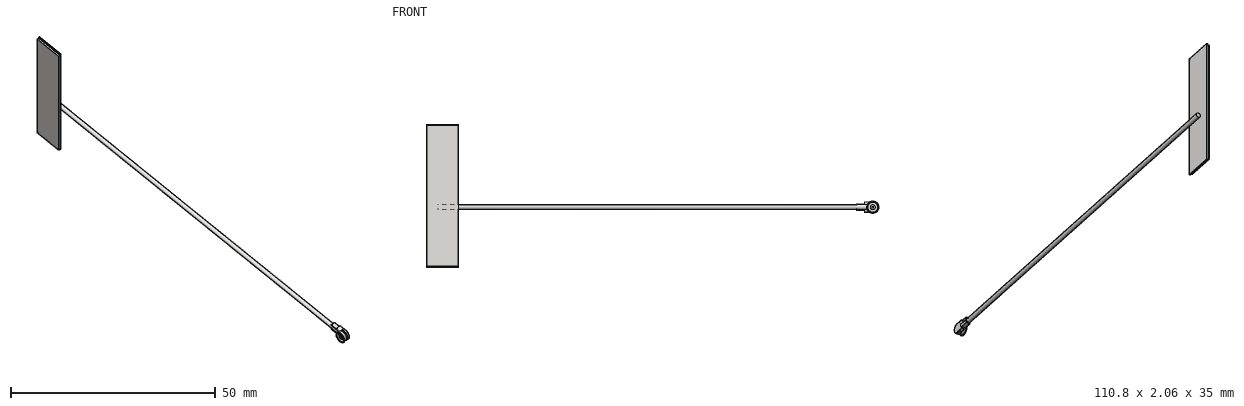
import cadquery as cq

patch_left = -55.4
patch_width = 7.8
board_height = 35.0
board_thickness = 0.3
cover_margin = 0.28
patch_front = -1.03
patch_back = -0.24
cover_height = board_height - 2 * cover_margin
cover_thickness = patch_back - board_thickness - patch_front

cable_diameter = 1.2
cable_start = -52.7
cable_end = 52.5
cable_y = patch_back + cable_diameter / 2
cable_z = -2.8

plug_right = 55.4
plug_back = 1.03
flange_diameter = 3.0
flange_front = -0.9
flange_thickness = 0.17
neck_diameter = 2.8
head_diameter = 2.9
head_front = 0.1
head_chamfer = 0.1
bore_diameter = 2.4
bore_floor = 0.5
plug_x = plug_right - flange_diameter / 2

saddle_start = 49.9
saddle_width = 1.7
wings_start = 51.9
wings_width = 2.5
wing_rounding = 0.4
crimp_front = -0.1

contact_diameter = 1.2
contact_bore = 0.4
contact_front = -0.7


def slab(width, height, back, thickness):
    """Flat upright layer whose left edge is the left edge of the patch."""
    return cq.Workplane("XY").box(width, thickness, height, centered=(False, False, True)).translate(
        (patch_left, back - thickness, 0)
    )


def disc(diameter, front, back):
    """Round body about the plug axis, from its front face to its back face."""
    plane = cq.Plane(origin=(plug_x, front, cable_z), xDir=(1, 0, 0), normal=(0, 1, 0))
    return cq.Workplane(plane).circle(diameter / 2).extrude(back - front)


def crimp_block(start, width):
    """Block around the cable that runs from the given start to the plug axis."""
    length = plug_x - start
    depth = plug_back - crimp_front
    return cq.Workplane("XY").box(length, depth, width, centered=(False, False, True)).translate(
        (start, crimp_front, cable_z)
    )


def make_cable():
    """Round rod whose jacket is two halves that meet along its top and bottom."""
    plane = cq.Plane(origin=(cable_start, cable_y, cable_z), xDir=(0, 0, 1), normal=(1, 0, 0))
    radius = cable_diameter / 2
    outline = (
        cq.Workplane(plane)
        .moveTo(radius, 0)
        .threePointArc((0, radius), (-radius, 0))
        .threePointArc((0, -radius), (radius, 0))
        .close()
    )
    return outline.extrude(cable_end - cable_start, clean=False)


def cable_slot():
    """Opening that lets the cable drop into the crimp from the front."""
    length = cable_end - cable_start
    depth = cable_y - crimp_front
    return cq.Workplane("XY").box(length, depth, cable_diameter, centered=(False, False, True)).translate(
        (cable_start, crimp_front, cable_z)
    )


def make_plug_shell(cable):
    """Round stepped shell with the crimp, bored from the front and cleared for the cable."""
    shell = disc(head_diameter, head_front, plug_back).faces(">Y").edges().chamfer(head_chamfer)
    shell = shell.union(disc(neck_diameter, flange_front, head_front))
    shell = shell.union(disc(flange_diameter, flange_front, flange_front + flange_thickness))
    shell = shell.union(crimp_block(saddle_start, saddle_width))
    wings = crimp_block(wings_start, wings_width).edges("|X and <Y").fillet(wing_rounding)
    shell = shell.union(wings)
    shell = shell.cut(disc(bore_diameter, flange_front, bore_floor))
    return shell.cut(cable).cut(cable_slot())


board = slab(patch_width, board_height, patch_back, board_thickness)
cover = slab(patch_width, cover_height, patch_back - board_thickness, cover_thickness)
cable = make_cable()
plug_shell = make_plug_shell(cable)
contact = disc(contact_diameter, contact_front, bore_floor).cut(
    disc(contact_bore, contact_front, bore_floor)
)

result = cq.Compound.makeCompound(
    [board.val(), cover.val(), cable.val(), plug_shell.val(), contact.val()]
)